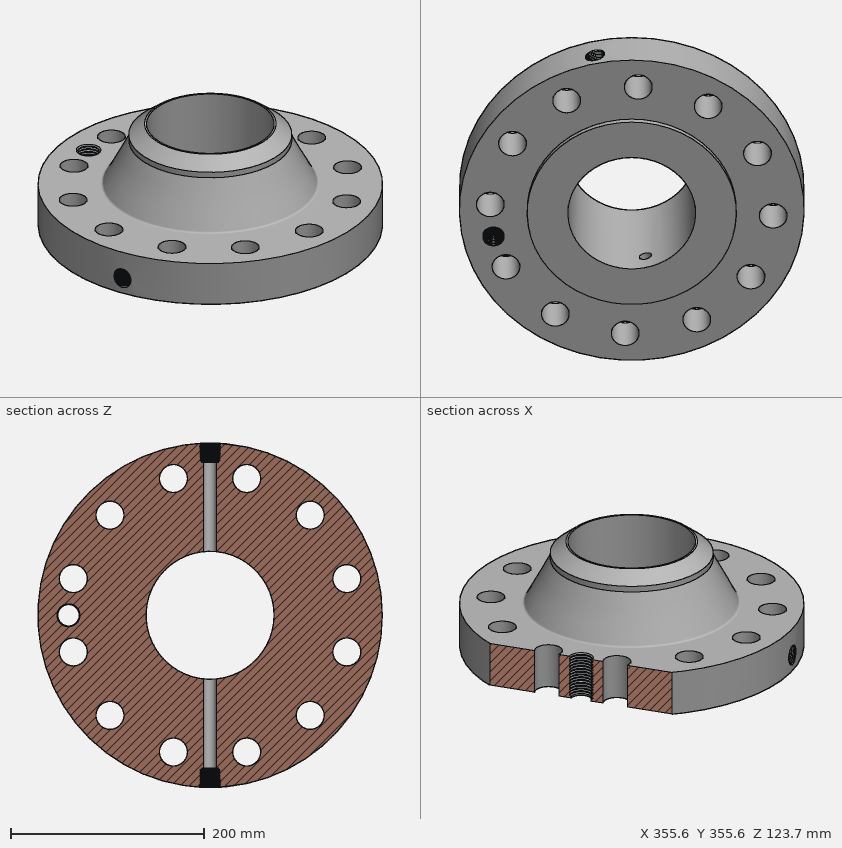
import cadquery as cq
import math


inch = 25.4

flange_diameter = 355.6
flange_thickness = 47.6
raised_face_diameter = 215.9
raised_face_height = 6.4

total_height = 123.7
hub_base_diameter = 222.25
hub_fillet_radius = 3.0
neck_diameter = 168.3
neck_straight_length = 6.4
bore_diameter = 131.75
weld_land_width = 2.0
weld_bevel_angle = 37.5

bolt_circle_diameter = 292.1
bolt_hole_diameter = 28.6
bolt_count = 12

thread_flank_angle = 30.0

jack_minor_diameter = 21.96
jack_major_diameter = inch
jack_pitch = inch / 8

tap_height = 24.0
tap_passage_diameter = 12.7
tap_thread_depth = 20.0
tap_major_diameter = 21.34
tap_thread_height = 1.45
tap_pitch = inch / 14
tap_taper = 1 / 16

flange_radius = flange_diameter / 2
flange_top = raised_face_height + flange_thickness
neck_radius = neck_diameter / 2
bore_radius = bore_diameter / 2
weld_tip_radius = bore_radius + weld_land_width
bevel_height = (neck_radius - weld_tip_radius) * math.tan(math.radians(weld_bevel_angle))
neck_top = total_height - bevel_height
neck_bottom = neck_top - neck_straight_length


def ring_body():
    """Revolved flange plate, hub, weld bevel and bore."""
    half_section = (
        cq.Workplane("XZ")
        .moveTo(bore_radius, 0)
        .lineTo(raised_face_diameter / 2, 0)
        .lineTo(raised_face_diameter / 2, raised_face_height)
        .lineTo(flange_radius, raised_face_height)
        .lineTo(flange_radius, flange_top)
        .lineTo(hub_base_diameter / 2, flange_top)
        .lineTo(neck_radius, neck_bottom)
        .lineTo(neck_radius, neck_top)
        .lineTo(weld_tip_radius, total_height)
        .lineTo(bore_radius, total_height)
        .close()
    )
    body = half_section.revolve(360, (0, 0, 0), (0, 1, 0))
    hub_root = cq.selectors.RadiusNthSelector(-2)
    return body.edges("%CIRCLE").edges(hub_root).fillet(hub_fillet_radius)


def bolt_holes():
    """Cylinders for the bolt holes, starting half a step off the X axis."""
    half_step = 180 / bolt_count
    return (
        cq.Workplane("XY")
        .polarArray(bolt_circle_diameter / 2, half_step, 360, bolt_count)
        .circle(bolt_hole_diameter / 2)
        .extrude(flange_top)
    )


def thread_cutter(major_diameter, thread_height, pitch, length, taper=0.0):
    """Hole with flat-bottomed ring grooves, its mouth at Z = 0 and running towards -Z."""
    flank_run = thread_height * math.tan(math.radians(thread_flank_angle))
    flat_length = pitch / 2 - flank_run

    def major_radius(depth):
        return (major_diameter - taper * depth) / 2

    def minor_radius(depth):
        return major_radius(depth) - thread_height

    profile = cq.Workplane("XZ").lineTo(major_radius(0), 0)
    groove_count = int((length - flank_run) / pitch)
    for turn in range(groove_count):
        ridge_start = turn * pitch + flank_run
        ridge_end = ridge_start + flat_length
        groove_start = ridge_end + flank_run
        groove_end = groove_start + flat_length
        profile = profile.lineTo(minor_radius(ridge_start), -ridge_start)
        profile = profile.lineTo(minor_radius(ridge_end), -ridge_end)
        profile = profile.lineTo(major_radius(groove_start), -groove_start)
        profile = profile.lineTo(major_radius(groove_end), -groove_end)
    last_ridge_start = groove_count * pitch + flank_run
    profile = profile.lineTo(minor_radius(last_ridge_start), -last_ridge_start)
    profile = profile.lineTo(minor_radius(length), -length).lineTo(0, -length).close()
    return profile.revolve(360, (0, 0, 0), (0, 1, 0))


def jack_screw_hole():
    """Threaded hole through the plate on the -X side."""
    thread_height = (jack_major_diameter - jack_minor_diameter) / 2
    cutter = thread_cutter(jack_major_diameter, thread_height, jack_pitch, flange_thickness)
    return cutter.translate((-bolt_circle_diameter / 2, 0, flange_top))


def pressure_tap():
    """Threaded tap running from the rim on the -Y side into the bore."""
    thread = thread_cutter(
        tap_major_diameter, tap_thread_height, tap_pitch, tap_thread_depth, tap_taper
    )
    passage = cq.Workplane("XY").circle(tap_passage_diameter / 2).extrude(-flange_radius)
    tap = thread.union(passage)
    return tap.rotate((0, 0, 0), (1, 0, 0), 90).translate((0, -flange_radius, tap_height))


result = ring_body().cut(bolt_holes()).cut(jack_screw_hole())
for tap_angle in (0, 180):
    result = result.cut(pressure_tap().rotate((0, 0, 0), (0, 0, 1), tap_angle))